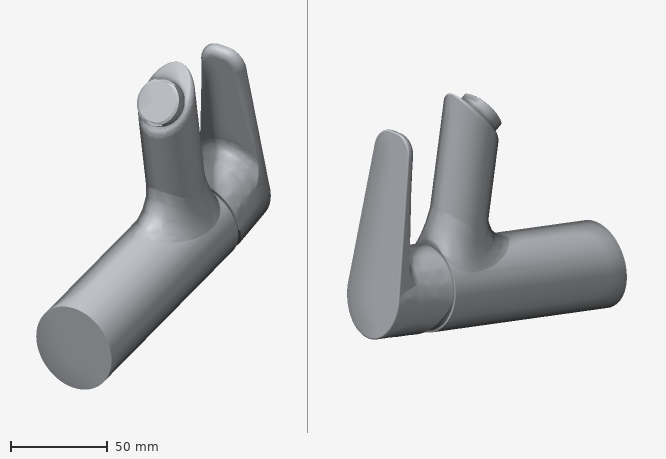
import cadquery as cq
import math

shapes = cq.occ_impl.shapes

TILT = 9.5

BODY_DIAMETER = 46.48
BODY_RADIUS = BODY_DIAMETER / 2
BODY_END = 120.8

NECK_CENTER = 113.8
NECK_RADIUS = 23.2
NECK_DEPTH = 16.0

SPOUT_RADIUS = 15.35
SPOUT_AXIS = 103.2
SPOUT_CUT_ANGLE = 40.0
SPOUT_CUT_HEIGHT = 92.25
SPOUT_BLANK_HEIGHT = 120.0
SPOUT_FRONT_ROUND = 6.5
SPOUT_REAR_ROUND = 0.5

FLARE_SECTIONS = 7
FLARE_POINTS = 16
FLARE_OVERLAP = 0.06
FLARE_CREST_HEIGHT = 43.5
FLARE_SIDE_HEIGHT = 36.6
FLARE_FRONT_REACH = 20.0
FLARE_SIDE_REACH = 4.3
FLARE_REAR_REACH = 3.0
FLARE_SIDE_POWER = 2.4
FLARE_REAR_POWER = 2.0
FLARE_REAR_SQUARENESS = 3.0

AERATOR_RADIUS = 12.2
AERATOR_TILT = 46.2
AERATOR_END_Y = 95.5
AERATOR_END_Z = 94.4
AERATOR_LENGTH = 12.0
AERATOR_CHAMFER_AXIAL = 0.6
AERATOR_CHAMFER_RADIAL = 1.4
FLAT_DISTANCE = 10.8
FLAT_LENGTH = 3.4

CAP_START = 122.4
CAP_END = 157.6
CAP_REAR_HALF_WIDTH = 19.7
CAP_REAR_HALF_HEIGHT = 23.4
CAP_RELIEF_END = 130.7

LEVER_TOP = 88.4
LEVER_THICKNESS = 5.9
LEVER_TAPER = 0.0835
LEVER_TIP_RADIUS = 11.0
LEVER_ROOT_RADIUS = 6.5
ROOT_MARGIN = 0.3
LEVER_FRONT_ROUND = 4.8
LEVER_ROUND_START = 23.5
LEVER_ROUND_FULL = 37.0
LEVER_ROUND_MINIMUM = 0.3
BACK_EDGE_ROUND = 0.8


def make_body():
    """Cylinder whose front end becomes vertical once the part is tilted."""
    slant = BODY_RADIUS * math.tan(math.radians(TILT))
    return (
        cq.Workplane("YZ")
        .polyline([
            (-slant, -BODY_RADIUS),
            (BODY_END, -BODY_RADIUS),
            (BODY_END, BODY_RADIUS),
            (slant, BODY_RADIUS),
        ])
        .close()
        .extrude(BODY_RADIUS, both=True)
        .intersect(
            cq.Workplane("XZ", origin=(0, -slant, 0))
            .circle(BODY_RADIUS)
            .extrude(-(BODY_END + slant))
        )
    )


def make_neck():
    """Ball segment reaching from the body into the handle cap."""
    ball = cq.Workplane("XY").sphere(NECK_RADIUS).translate((0, NECK_CENTER, 0))
    return ball.intersect(
        cq.Workplane("XZ", origin=(0, NECK_CENTER, 0)).circle(BODY_RADIUS).extrude(-NECK_DEPTH)
    )


def make_spout():
    """Slant-cut cylinder; the rim rounding grows from the rear tip to the front."""
    run = SPOUT_RADIUS * 2
    rise = run * math.tan(math.radians(SPOUT_CUT_ANGLE))
    half_blank = (
        cq.Workplane("YZ")
        .polyline([
            (SPOUT_AXIS - run, 0),
            (SPOUT_AXIS + run, 0),
            (SPOUT_AXIS + run, SPOUT_CUT_HEIGHT + rise),
            (SPOUT_AXIS - run, SPOUT_CUT_HEIGHT - rise),
        ])
        .close()
        .extrude(-run)
    )
    half = (
        cq.Workplane("XY", origin=(0, SPOUT_AXIS, 0))
        .circle(SPOUT_RADIUS)
        .extrude(SPOUT_BLANK_HEIGHT)
        .intersect(half_blank)
    )
    rim = half.edges("%ELLIPSE").val()
    start_round, end_round = SPOUT_FRONT_ROUND, SPOUT_REAR_ROUND
    if rim.startPoint().z > rim.endPoint().z:
        start_round, end_round = end_round, start_round
    rounding = shapes.BRepFilletAPI_MakeFillet(half.val().wrapped)
    rounding.Add(start_round, end_round, rim.wrapped)
    half = cq.Workplane(cq.Shape.cast(rounding.Shape()))
    return half.union(half.mirror("YZ"))


def flare_section(progress):
    """Closed saddle curve; progress runs from 0 on the spout to 1 on the body."""
    sweep = progress * math.pi / 2
    sink = math.sin(sweep)
    base = SPOUT_RADIUS - FLARE_OVERLAP
    front = base + FLARE_FRONT_REACH * (1 - math.cos(sweep))
    side = base + FLARE_SIDE_REACH * sink**FLARE_SIDE_POWER
    rear = base + FLARE_REAR_REACH * sink**FLARE_REAR_POWER
    foot_side = SPOUT_RADIUS + FLARE_SIDE_REACH
    squareness = 2 / (2 + (FLARE_REAR_SQUARENESS - 2) * sink)
    points = []
    for index in range(FLARE_POINTS):
        angle = 2 * math.pi * index / FLARE_POINTS
        along, across = math.cos(angle), math.sin(angle)
        top = FLARE_SIDE_HEIGHT + (FLARE_CREST_HEIGHT - FLARE_SIDE_HEIGHT) * along**2
        if along > 0:
            reach = front
        else:
            reach = rear
            along = math.copysign(abs(along) ** squareness, along)
            across = math.copysign(abs(across) ** squareness, across)
        foot = math.sqrt(BODY_RADIUS**2 - (foot_side * across)**2) - FLARE_OVERLAP
        points.append(cq.Vector(side * across, SPOUT_AXIS - reach * along, top + (foot - top) * sink))
    return cq.Wire.assembleEdges([cq.Edge.makeSpline(points, periodic=True)])


def make_flare():
    """Solid lofted through the saddle curves and closed with filled end faces."""
    sections = [flare_section(i / (FLARE_SECTIONS - 1)) for i in range(FLARE_SECTIONS)]
    skirt = shapes.loft(sections)
    caps = [shapes.fill(section) for section in (sections[0], sections[-1])]
    flare = cq.Workplane(shapes.solid(shapes.shell(skirt, *caps)).fix())
    behind = (
        cq.Workplane("XZ", origin=(0, BODY_END, 0))
        .rect(2 * BODY_DIAMETER, 4 * FLARE_CREST_HEIGHT)
        .extrude(-BODY_DIAMETER)
    )
    return flare.cut(behind)


def make_aerator():
    """Chamfered disc with two wrench flats, set on the slanted spout face."""
    aerator = (
        cq.Workplane("XY")
        .circle(AERATOR_RADIUS)
        .extrude(-AERATOR_LENGTH)
        .faces(">Z")
        .chamfer(AERATOR_CHAMFER_AXIAL, AERATOR_CHAMFER_RADIAL)
    )
    for side in (1, -1):
        flat = cq.Workplane("XY").box(AERATOR_RADIUS * 2, AERATOR_RADIUS, FLAT_LENGTH * 2)
        aerator = aerator.cut(flat.translate((0, side * (FLAT_DISTANCE + AERATOR_RADIUS / 2), 0)))
    return aerator.rotate((0, 0, 0), (1, 0, 0), AERATOR_TILT).translate((0, AERATOR_END_Y, AERATOR_END_Z))


def make_cap():
    """Loft from a round front to a narrower elliptical rear."""
    return (
        cq.Workplane("XZ", origin=(0, CAP_START, 0))
        .circle(BODY_RADIUS)
        .workplane(offset=CAP_START - CAP_END)
        .ellipse(CAP_REAR_HALF_WIDTH, CAP_REAR_HALF_HEIGHT)
        .loft(combine=True)
    )


def lever_half_width(height):
    """Half the lever width; its sides are tangent to the elliptical rear of the cap."""
    base = math.hypot(CAP_REAR_HALF_WIDTH, LEVER_TAPER * CAP_REAR_HALF_HEIGHT)
    return base - LEVER_TAPER * height


def make_lever(heights):
    """Sharp-edged lever with side vertices at the given heights, lowest first."""
    right = [(lever_half_width(height), height) for height in heights]
    left = [(-x, height) for x, height in reversed(right)]
    return (
        cq.Workplane("XZ", origin=(0, CAP_END, 0))
        .polyline(right + left)
        .close()
        .extrude(LEVER_THICKNESS, clean=False)
        .edges("|Y and >Z")
        .fillet(LEVER_TIP_RADIUS)
    )


def lever_edge_waste():
    """Material outside the rounded lever edges; the rounding fades out at the lever root."""
    lever = make_lever([LEVER_ROUND_START, LEVER_ROUND_FULL, LEVER_TOP])
    front_edges = lever.faces("<Y").edges("not(<Z)")
    rounding = shapes.BRepFilletAPI_MakeFillet(lever.val().wrapped)
    rounding.Add(LEVER_FRONT_ROUND, front_edges.val().wrapped)
    last = rounding.NbEdges(1)
    rounding.SetRadius(LEVER_ROUND_MINIMUM, LEVER_FRONT_ROUND, 1, 1)
    rounding.SetRadius(LEVER_FRONT_ROUND, LEVER_ROUND_MINIMUM, 1, last)
    return lever.cut(cq.Workplane(cq.Shape.cast(rounding.Shape())))


def make_relief():
    """Slanted clearance under the lower half of the cap's front end."""
    run = CAP_RELIEF_END - CAP_START
    return (
        cq.Workplane("YZ")
        .polyline([
            (CAP_START - run, 0),
            (CAP_START, 0),
            (CAP_RELIEF_END, -BODY_RADIUS),
            (CAP_RELIEF_END + run, -2 * BODY_RADIUS),
            (CAP_START - run, -2 * BODY_RADIUS),
        ])
        .close()
        .extrude(BODY_DIAMETER, both=True)
    )


def make_handle():
    """Cap and lever with a rounded rear edge, a root fillet and rounded lever edges."""
    lever_front = CAP_END - LEVER_THICKNESS
    tangent_height = LEVER_TAPER * CAP_REAR_HALF_HEIGHT**2 / lever_half_width(0)
    handle = make_cap().union(make_lever([tangent_height, LEVER_TOP]))
    handle = handle.faces(">Y").edges().fillet(BACK_EDGE_ROUND)
    root_zone = cq.selectors.BoxSelector(
        (-BODY_RADIUS, lever_front - ROOT_MARGIN, 0),
        (BODY_RADIUS, lever_front + ROOT_MARGIN, BODY_RADIUS + ROOT_MARGIN),
        boundingbox=True,
    )
    handle = handle.edges(root_zone).fillet(LEVER_ROOT_RADIUS)
    return handle.cut(lever_edge_waste()).cut(make_relief())


result = (
    make_body()
    .union(make_spout())
    .union(make_flare())
    .union(make_neck())
    .union(make_aerator())
    .union(make_handle())
    .rotate((0, 0, 0), (1, 0, 0), TILT)
)